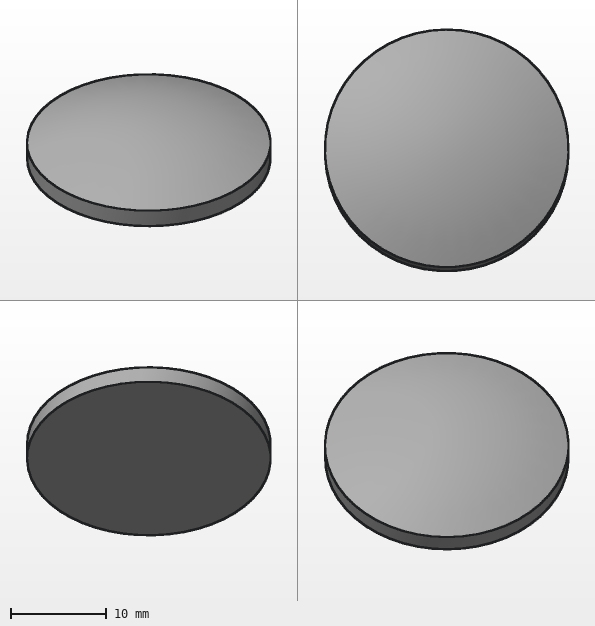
import cadquery as cq

diameter = 25.4
centre_thickness = 4.58
edge_thickness = 1.96

radius = diameter / 2
cap_height = centre_thickness - edge_thickness
sphere_radius = (radius**2 + cap_height**2) / (2 * cap_height)
sphere_centre_z = centre_thickness - sphere_radius


def make_lens():
    """Cut a round blank down to the sphere that forms the convex face."""
    blank = cq.Workplane("XY").circle(radius).extrude(centre_thickness)
    sphere = cq.Workplane("XY").sphere(sphere_radius).translate((0, 0, sphere_centre_z))
    return blank.intersect(sphere)


result = make_lens()